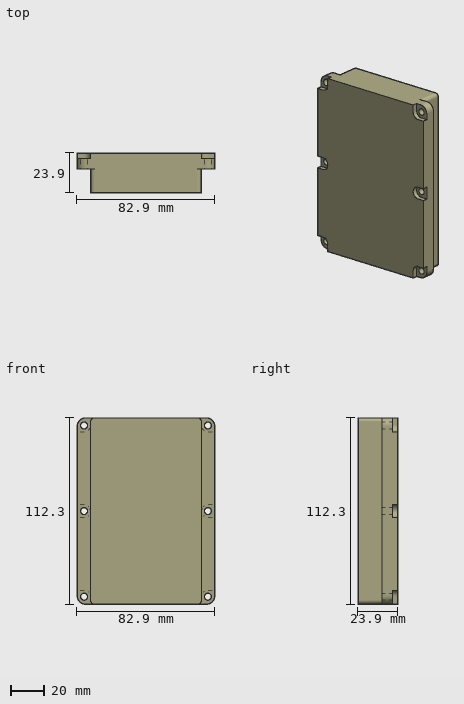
import cadquery as cq

width = 82.9
depth = 23.9
height = 112.3

body_width = 66.7
body_corner_radius = 2.4
flange_thickness = 9.5
flange_corner_radius = 5.0

hole_diameter = 4.0
hole_x = 37.3
hole_z = 51.5
pocket_radius = 3.8
pocket_depth = 3.3

back_y = depth / 2
side_x = width / 2
top_z = height / 2


def upright_plate(plate_width, thickness, corner_radius):
    """Full-height plate with rounded corners, its back face on the back plane."""
    return (
        cq.Workplane("XY")
        .box(plate_width, thickness, height)
        .translate((0, back_y - thickness / 2, 0))
        .edges("|Y")
        .fillet(corner_radius)
    )


def pocket_block(x_start, x_end, z_start, z_end):
    """Rectangular cut into the back face."""
    return cq.Workplane("XY").box(
        x_end - x_start, pocket_depth, z_end - z_start, centered=False
    ).translate((x_start, back_y - pocket_depth, z_start))


def back_cylinder(radius, length, x, z):
    """Cylinder running forward from the back face."""
    return (
        cq.Workplane("XZ", origin=(x, back_y, z))
        .circle(radius)
        .extrude(length)
    )


def screw_cut(z):
    """Through hole and rear pocket on the right side; upper pockets also open at the top."""
    cut = back_cylinder(hole_diameter / 2, flange_thickness, hole_x, z)
    cut = cut.union(back_cylinder(pocket_radius, pocket_depth, hole_x, z))
    pocket_top = z + pocket_radius
    if z > 0:
        pocket_top = top_z
        cut = cut.union(pocket_block(hole_x - pocket_radius, side_x, z, top_z))
    return cut.union(pocket_block(hole_x, side_x, z - pocket_radius, pocket_top))


result = upright_plate(width, flange_thickness, flange_corner_radius).union(
    upright_plate(body_width, depth, body_corner_radius)
)

middle_cut = screw_cut(0)
upper_cut = screw_cut(hole_z)
for right_cut in (middle_cut, upper_cut, upper_cut.mirror("XY")):
    result = result.cut(right_cut).cut(right_cut.mirror("YZ"))